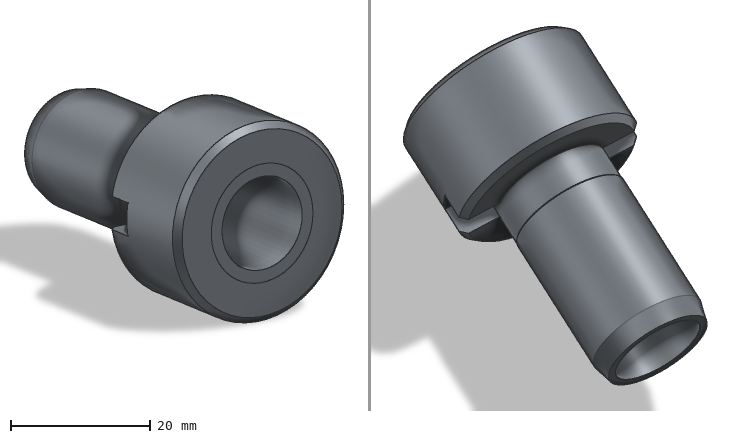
import cadquery as cq

total_length = 48.0
head_start = 30.5
neck_start = 25.05
lead_in_length = 3.02

tube_diameter = 18.0
neck_diameter = 17.8
lead_in_diameter = 16.4
bore_diameter = 14.0
mouth_chamfer = 0.1
neck_step_length = 0.15

head_diameter = 30.0
head_chamfer = 1.0

slot_width = 5.0
slot_depth = 5.0


def make_tube():
    """Bored tube with a tapered lead-in, a chamfered mouth and a slightly thinner neck inside the head."""
    tube_radius = tube_diameter / 2
    neck_radius = neck_diameter / 2
    bore_radius = bore_diameter / 2
    half_section = (
        cq.Workplane("XY")
        .moveTo(mouth_chamfer, bore_radius)
        .lineTo(0, bore_radius + mouth_chamfer)
        .lineTo(0, lead_in_diameter / 2)
        .lineTo(lead_in_length, tube_radius)
        .lineTo(neck_start - neck_step_length, tube_radius)
        .lineTo(neck_start, neck_radius)
        .lineTo(total_length, neck_radius)
        .lineTo(total_length, bore_radius)
        .close()
    )
    return half_section.revolve(360, (0, 0, 0), (1, 0, 0))


def make_head():
    """Chamfered ring around the neck, with a slot across its left face along Y."""
    ring = (
        cq.Workplane("YZ", origin=(head_start, 0, 0))
        .circle(head_diameter / 2)
        .extrude(total_length - head_start)
        .faces("<X or >X")
        .chamfer(head_chamfer)
    )
    neck_hole = (
        cq.Workplane("YZ", origin=(head_start, 0, 0))
        .circle(neck_diameter / 2)
        .extrude(total_length - head_start)
    )
    slot = cq.Workplane("XY", origin=(head_start, 0, 0)).box(
        slot_depth, head_diameter, slot_width, centered=(False, True, True)
    )
    return ring.cut(neck_hole).cut(slot)


tube = make_tube()
head = make_head()

result = cq.Compound.makeCompound([tube.val(), head.val()])